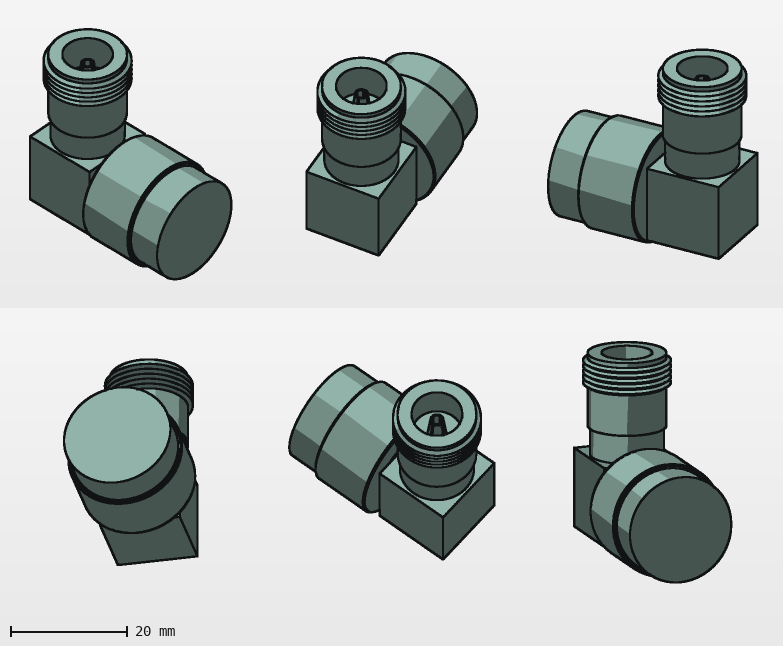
import cadquery as cq

TOTAL_HEIGHT = 35.0

BLOCK_SIDE = 13.95
BLOCK_HALF = BLOCK_SIDE / 2

NUT_DIAMETER = 20.0
NUT_RADIUS = NUT_DIAMETER / 2
NUT_START = 8.05
NUT_COLLAR_LENGTH = 10.85
NUT_EDGE_CHAMFER = 0.25
NUT_TAIL_RADIUS = 9.35
NUT_TAIL_LENGTH = 6.1

NECK_RADIUS = 5.08
NECK_LENGTH = NUT_START - BLOCK_HALF

SOCKET_TOP = TOTAL_HEIGHT - NUT_RADIUS
STEM_RADIUS = 6.37
BARREL_RADIUS = 6.75
BARREL_LENGTH = 12.95
BARREL_START = SOCKET_TOP - BARREL_LENGTH

THREAD_RADIUS = 7.55
THREAD_LENGTH = 4.85
THREAD_RIDGES = 5
THREAD_PITCH = THREAD_LENGTH / THREAD_RIDGES
THREAD_TOP_DEPTH = 0.88
THREAD_TOP = SOCKET_TOP - THREAD_TOP_DEPTH

BORE_RADIUS = 4.35
BORE_DEPTH = 6.3
BORE_FLOOR = SOCKET_TOP - BORE_DEPTH

CONTACT_TIP_DEPTH = 1.95
CONTACT_HEIGHT = BORE_DEPTH - CONTACT_TIP_DEPTH
CONTACT_TIP = BORE_FLOOR + CONTACT_HEIGHT
CONTACT_BASE_RADIUS = 1.6
CONTACT_TIP_RADIUS = 1.12
CONTACT_HOLE_RADIUS = 0.88
CONTACT_SLOT_WIDTH = 0.28
CONTACT_SLOT_DEPTH = 3.5


def cylinder_up(radius, start, length):
    """Cylinder on the Z axis, from height `start` upwards."""
    return cq.Workplane("XY").workplane(offset=start).circle(radius).extrude(length)


def cylinder_right(radius, start, length):
    """Cylinder on the X axis, from `start` towards +X."""
    return cq.Workplane("YZ").workplane(offset=start).circle(radius).extrude(length)


def make_thread():
    """Sleeve of pointed ridges, revolved about Z from a sawtooth profile."""
    profile = cq.Workplane("XZ").moveTo(BORE_RADIUS, THREAD_TOP).lineTo(BARREL_RADIUS, THREAD_TOP)
    for ridge in range(THREAD_RIDGES):
        ridge_top = THREAD_TOP - ridge * THREAD_PITCH
        profile = profile.lineTo(THREAD_RADIUS, ridge_top - THREAD_PITCH / 2)
        profile = profile.lineTo(BARREL_RADIUS, ridge_top - THREAD_PITCH)
    profile = profile.lineTo(BORE_RADIUS, THREAD_TOP - THREAD_LENGTH).close()
    return profile.revolve(360, (0, 0, 0), (0, 1, 0))


def make_contact():
    """Hollow cone split into four fingers by two crossing slots."""
    base_centre = cq.Vector(0, 0, BORE_FLOOR)
    cone = cq.Workplane(
        cq.Solid.makeCone(CONTACT_BASE_RADIUS, CONTACT_TIP_RADIUS, CONTACT_HEIGHT, base_centre)
    )
    slot_floor = CONTACT_TIP - CONTACT_SLOT_DEPTH
    contact = cone.cut(cylinder_up(CONTACT_HOLE_RADIUS, slot_floor, CONTACT_SLOT_DEPTH))
    slot_length = 2 * CONTACT_BASE_RADIUS
    slot_sketch = cq.Workplane("XY").workplane(offset=slot_floor)
    for size in [(slot_length, CONTACT_SLOT_WIDTH), (CONTACT_SLOT_WIDTH, slot_length)]:
        contact = contact.cut(slot_sketch.rect(*size).extrude(CONTACT_SLOT_DEPTH))
    return contact


def make_coupling_nut():
    """Chamfered collar at the end of the neck, with a narrower tail."""
    collar = cylinder_right(NUT_RADIUS, NUT_START, NUT_COLLAR_LENGTH)
    collar = collar.edges("%CIRCLE").chamfer(NUT_EDGE_CHAMFER)
    tail = cylinder_right(NUT_TAIL_RADIUS, NUT_START + NUT_COLLAR_LENGTH, NUT_TAIL_LENGTH)
    return collar.union(tail)


def make_housing():
    """Elbow block with the threaded socket above it and the coupling nut beside it."""
    housing = cq.Workplane("XY").box(BLOCK_SIDE, BLOCK_SIDE, BLOCK_SIDE)
    housing = housing.union(cylinder_right(NECK_RADIUS, BLOCK_HALF, NECK_LENGTH))
    housing = housing.union(cylinder_up(STEM_RADIUS, BLOCK_HALF, BARREL_START - BLOCK_HALF))
    housing = housing.union(cylinder_up(BARREL_RADIUS, BARREL_START, BARREL_LENGTH))
    housing = housing.union(make_thread())
    housing = housing.cut(cylinder_up(BORE_RADIUS, BORE_FLOOR, BORE_DEPTH))
    return housing.union(make_coupling_nut())


housing = make_housing()
contact = make_contact()
result = cq.Compound.makeCompound([housing.val(), contact.val()])